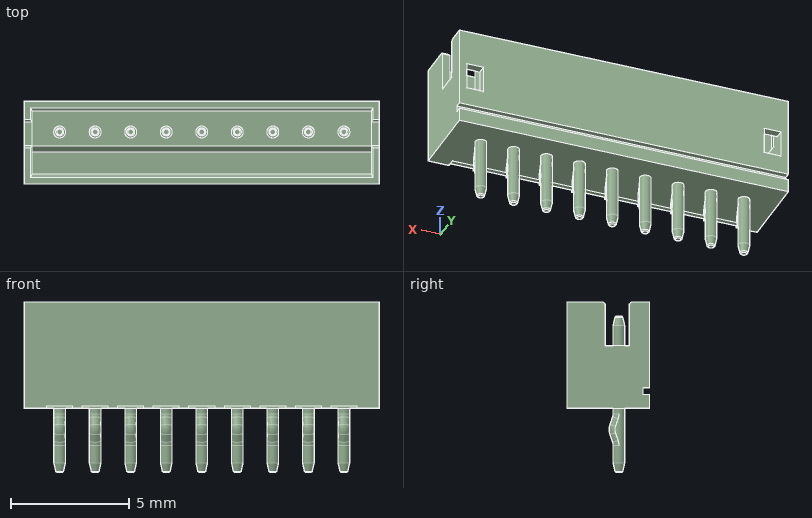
import cadquery as cq
import math


length = 15.0
width = 3.5
height = 4.5
rear_y = 1.3
front_y = rear_y - width

side_wall = 0.42
end_wall = 0.34
rim_chamfer_side = 0.14
rim_chamfer_end = 0.07
rim_chamfer_depth = 0.1
floor_z = 1.7
trough_z = 1.2
step_top_y = -0.6
step_bottom_y = -0.84

slot_width = 1.0
slot_center_y = -0.07
slot_bottom_z = 2.65
slot_chamfer = 0.1
window_width = 0.76
window_top_z = 2.9
groove_bottom_z = 0.6
groove_height = 0.27
groove_depth = 0.28
relief_width = 1.1
relief_height = 0.1
relief_depth = 0.4

pin_count = 9
pitch = 1.5
pin_radius = 0.25
pin_top_z = 3.9
pin_bottom_z = -2.7
tip_length = 0.4
tip_radius = 0.17
tip_chamfer = 0.05

kink_mid_z = -0.89
kink_angle = math.radians(19)
root_bend_radius = 0.63
crest_bend_radius = 0.42
kink_straight = 0.34

pin_xs = [(i - (pin_count - 1) / 2) * pitch for i in range(pin_count)]


def block(x0, x1, y0, y1, z0, z1):
    """Axis-aligned box between opposite corners."""
    size = (x1 - x0, y1 - y0, z1 - z0)
    return cq.Workplane("XY").box(*size, centered=False).translate((x0, y0, z0))


def along_x(outline, x_length):
    """Closed (y, z) outline extruded symmetrically along X."""
    return cq.Workplane("YZ").polyline(outline).close().extrude(x_length / 2, both=True)


def make_cavity():
    """Cavity with a ramped floor and a chamfered rim."""
    inner_length = length - 2 * end_wall
    inner_front = front_y + side_wall
    inner_rear = rear_y - side_wall
    well = along_x(
        [
            (inner_front, trough_z),
            (step_bottom_y, trough_z),
            (step_top_y, floor_z),
            (inner_rear, floor_z),
            (inner_rear, height),
            (inner_front, height),
        ],
        inner_length,
    )
    inner_width = inner_rear - inner_front
    rim = (
        cq.Workplane("XY", origin=(0, (inner_front + inner_rear) / 2, height - rim_chamfer_depth))
        .rect(inner_length, inner_width)
        .workplane(offset=rim_chamfer_depth)
        .rect(inner_length + 2 * rim_chamfer_end, inner_width + 2 * rim_chamfer_side)
        .loft(ruled=True)
    )
    return well.union(rim)


def make_end_slots():
    """Key slot through both end walls, chamfered at its mouth."""
    y0 = slot_center_y - slot_width / 2
    y1 = slot_center_y + slot_width / 2
    return along_x(
        [
            (y0, slot_bottom_z),
            (y1, slot_bottom_z),
            (y1, height - slot_chamfer),
            (y1 + slot_chamfer, height),
            (y0 - slot_chamfer, height),
            (y0, height - slot_chamfer),
        ],
        length,
    )


def make_rear_windows():
    """Windows through the rear wall at both ends of the cavity, level with the floor."""
    outer_x = length / 2 - end_wall
    window = block(outer_x - window_width, outer_x, rear_y - side_wall, rear_y, floor_z, window_top_z)
    return window.union(window.mirror("YZ"))


def make_rear_groove():
    """Groove along the whole rear face."""
    groove_top_z = groove_bottom_z + groove_height
    return block(-length / 2, length / 2, rear_y - groove_depth, rear_y, groove_bottom_z, groove_top_z)


def make_shroud():
    shroud = block(-length / 2, length / 2, front_y, rear_y, 0, height)
    shroud = shroud.cut(make_cavity()).cut(make_end_slots())
    shroud = shroud.cut(make_rear_windows()).cut(make_rear_groove())
    for x in pin_xs:
        half = relief_width / 2
        shroud = shroud.cut(block(x - half, x + half, front_y, front_y + relief_depth, 0, relief_height))
    return shroud


def make_kink():
    """Half-round strip swept along a path that bows out to the front and returns to the pin axis."""
    sin_a = math.sin(kink_angle)
    cos_a = math.cos(kink_angle)
    sin_half = math.sin(kink_angle / 2)
    cos_half = math.cos(kink_angle / 2)

    crest_end_rise = crest_bend_radius * sin_a
    root_start_rise = crest_end_rise + kink_straight * cos_a
    half_length = root_start_rise + root_bend_radius * sin_a
    root_offset = root_bend_radius * (1 - cos_a)
    slope_offset = root_offset + kink_straight * sin_a
    crest_offset = slope_offset + crest_bend_radius * (1 - cos_a)
    root_mid_offset = root_bend_radius * (1 - cos_half)
    root_mid_rise = half_length - root_bend_radius * sin_half

    def at(offset, rise):
        return (-offset, kink_mid_z + rise)

    path = (
        cq.Workplane("YZ")
        .moveTo(*at(0, half_length))
        .threePointArc(at(root_mid_offset, root_mid_rise), at(root_offset, root_start_rise))
        .lineTo(*at(slope_offset, crest_end_rise))
        .threePointArc(at(crest_offset, 0), at(slope_offset, -crest_end_rise))
        .lineTo(*at(root_offset, -root_start_rise))
        .threePointArc(at(root_mid_offset, -root_mid_rise), at(0, -half_length))
    )
    return (
        cq.Workplane("XY", origin=(0, 0, kink_mid_z + half_length))
        .moveTo(-pin_radius, 0)
        .threePointArc((0, -pin_radius), (pin_radius, 0))
        .close()
        .sweep(path)
    )


def make_pin():
    """Round pin with tapered, chamfered tips and a kinked tail."""
    flat_radius = tip_radius - tip_chamfer
    body = (
        cq.Workplane("YZ")
        .polyline(
            [
                (0, pin_bottom_z),
                (flat_radius, pin_bottom_z),
                (tip_radius, pin_bottom_z + tip_chamfer),
                (pin_radius, pin_bottom_z + tip_length),
                (pin_radius, pin_top_z - tip_length),
                (tip_radius, pin_top_z - tip_chamfer),
                (flat_radius, pin_top_z),
                (0, pin_top_z),
            ]
        )
        .close()
        .revolve(360, (0, 0, 0), (0, 1, 0))
    )
    return body.union(make_kink())


result = make_shroud()
pin = make_pin()
for pin_x in pin_xs:
    result = result.union(pin.translate((pin_x, 0, 0)))